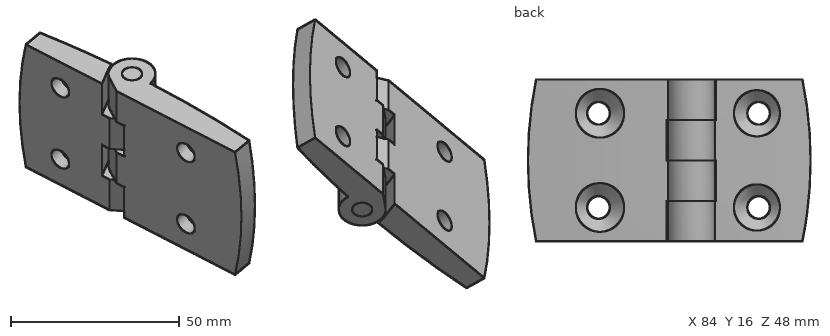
import cadquery as cq
import math

length = 84.0
height = 48.0
depth = 16.0
left_end_x = -35.4
right_end_x = left_end_x + length
middle_x = (left_end_x + right_end_x) / 2

knuckle_radius = 7.0
recess_radius = 7.3
axis_y = depth - knuckle_radius
pin_diameter = 6.0
knuckle_count = 4
knuckle_height = height / knuckle_count
knuckle_foot = 1.35
recess_foot = 4.2

crown_y = axis_y
end_thickness = 6.55
end_bow = 2.4

hole_diameter = 6.6
hole_spacing = 28.0
left_hole_x = -20.0
right_hole_x = 27.55
countersink_diameter = 13.35
countersink_angle = 90.0
countersink_rim_y = 7.9
countersink_overrun = 1.7


def flank_block(side, foot, radius, base_z):
    """One knuckle level of the space on the given side (1 right, -1 left) of a sloping flank.

    The flank rises from the front face at x = side * foot and is tangent to a circle on the axis,
    on the side of the axis away from the block.
    """
    distance = math.hypot(foot, axis_y)
    touch_angle = math.atan2(-axis_y, foot) - math.acos(radius / distance)
    touch_x = side * radius * math.cos(touch_angle)
    touch_y = axis_y + radius * math.sin(touch_angle)
    far_x = side * length
    corners = [(side * foot, 0), (touch_x, touch_y), (touch_x, depth), (far_x, depth), (far_x, 0)]
    return cq.Workplane("XY").workplane(offset=base_z).polyline(corners).close().extrude(knuckle_height)


def axis_cylinder(radius, base_z, cylinder_height):
    """Cylinder on the hinge axis."""
    return (
        cq.Workplane("XY")
        .workplane(offset=base_z)
        .center(0, axis_y)
        .circle(radius)
        .extrude(cylinder_height)
    )


def make_plate():
    """Both leaf plates in one piece, with a crowned back face and bowed ends."""
    crowned = (
        cq.Workplane("XY")
        .moveTo(left_end_x, 0)
        .lineTo(right_end_x, 0)
        .lineTo(right_end_x, end_thickness)
        .threePointArc((middle_x, crown_y), (left_end_x, end_thickness))
        .close()
        .extrude(height)
    )
    outline = (
        cq.Workplane("XZ")
        .moveTo(left_end_x + end_bow, 0)
        .lineTo(right_end_x - end_bow, 0)
        .threePointArc((right_end_x, height / 2), (right_end_x - end_bow, height))
        .lineTo(left_end_x + end_bow, height)
        .threePointArc((left_end_x, height / 2), (left_end_x + end_bow, 0))
        .close()
        .extrude(-depth)
    )
    return crowned.intersect(outline)


def level_block(side, base_z):
    """One knuckle level of all the space on the given side of the hinge axis."""
    return (
        cq.Workplane("XY")
        .workplane(offset=base_z)
        .center(side * length / 2, depth / 2)
        .rect(length, depth)
        .extrude(knuckle_height)
    )


def make_screw_holes(hole_x):
    """Cutter for one leaf's pair of through holes, countersunk from the back face."""
    rim_radius = countersink_diameter / 2
    hole_radius = hole_diameter / 2
    cone_depth = (rim_radius - hole_radius) / math.tan(math.radians(countersink_angle / 2))
    overrun_radius = rim_radius + countersink_overrun * math.tan(math.radians(countersink_angle / 2))
    overrun_y = countersink_rim_y + countersink_overrun
    cutter = (
        cq.Workplane("YZ")
        .lineTo(0, hole_radius)
        .lineTo(countersink_rim_y - cone_depth, hole_radius)
        .lineTo(overrun_y, overrun_radius)
        .lineTo(overrun_y, 0)
        .close()
        .revolve(360, (0, 0, 0), (1, 0, 0))
    )
    lower = cutter.translate((hole_x, 0, (height - hole_spacing) / 2))
    upper = cutter.translate((hole_x, 0, (height + hole_spacing) / 2))
    return lower.union(upper)


def make_leaf(side, first_knuckle_level, hole_x):
    """Leaf with knuckles on alternate levels and recesses for the other leaf between them."""
    plate = make_plate().cut(make_screw_holes(hole_x))
    leaf = cq.Workplane("XY")
    for level in range(knuckle_count):
        base_z = level * knuckle_height
        if level % 2 == first_knuckle_level:
            web = plate.intersect(flank_block(side, knuckle_foot, knuckle_radius, base_z))
            barrel = axis_cylinder(knuckle_radius, base_z, knuckle_height)
            leaf = leaf.add(web.union(barrel))
        else:
            recess = flank_block(-side, -recess_foot, recess_radius, base_z)
            recess = recess.union(axis_cylinder(recess_radius, base_z, knuckle_height))
            leaf = leaf.add(plate.intersect(level_block(side, base_z)).cut(recess))
    leaf = leaf.combine(clean=True)
    pin_bore = axis_cylinder(pin_diameter / 2, 0, height)
    return leaf.cut(pin_bore)


left_leaf = make_leaf(side=-1, first_knuckle_level=0, hole_x=left_hole_x)
right_leaf = make_leaf(side=1, first_knuckle_level=1, hole_x=right_hole_x)
pin = axis_cylinder(pin_diameter / 2, 0, height)

result = cq.Compound.makeCompound([left_leaf.solids().val(), right_leaf.solids().val(), pin.val()])